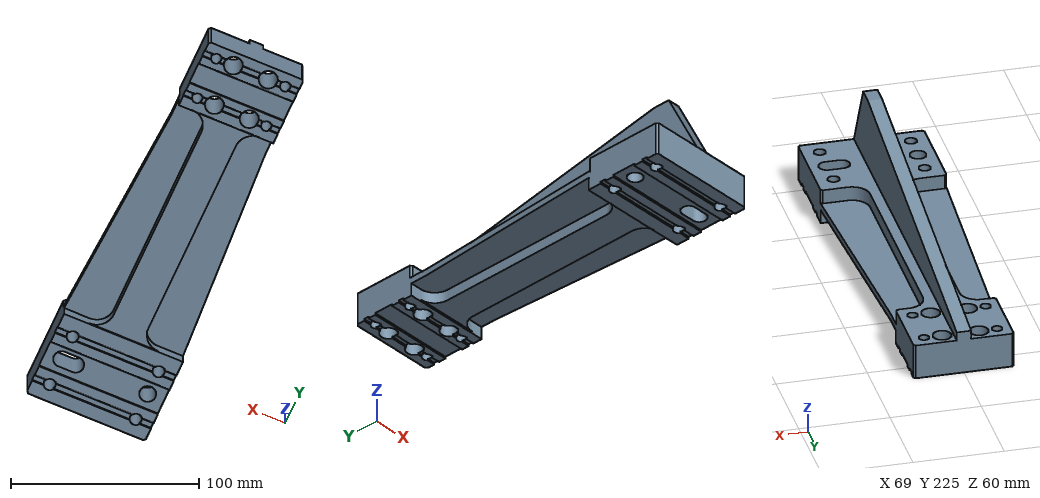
import cadquery as cq

length = 225.0
wide_width = 69.0
narrow_width = 55.0
base_height = 20.0
overall_height = 60.0
corner_chamfer = 1.1

wide_block_length = 50.0
narrow_block_length = 40.0
taper_length = 125.0
taper_end = wide_block_length + taper_length
spine_width = 20.0
pocket_radius = 10.0
pocket_depth = 8.0
web_thickness = 4.0
pocket_chamfer = 1.1
waist_length = length - wide_block_length - narrow_block_length
waist_center = wide_block_length + waist_length / 2
web_top = base_height - pocket_depth
web_bottom = web_top - web_thickness

rib_thickness = 7.9
rib_low_height = 5.0
rib_crest_start = 20.2
rib_crest_end = 30.5

foot_height = 1.1
row_groove_width = 3.4
wide_end_groove = 15.3
narrow_end_groove = 12.2

wide_hole_x = 25.0
wide_hole_rows = (9.5, 39.5)
wide_hole_diameter = 6.5
dowel_y = 25.0
dowel_diameter = 9.0
slot_x = 21.0
slot_length = 17.0

narrow_hole_rows = (length - 32.5, length - 7.5)
small_hole_x = 20.0
small_hole_diameter = 5.6
large_hole_x = 10.1
large_hole_diameter = 10.1


def make_base():
    wide_half = wide_width / 2
    narrow_half = narrow_width / 2
    outline = [
        (-wide_half, 0),
        (wide_half, 0),
        (wide_half, wide_block_length),
        (narrow_half, taper_end),
        (narrow_half, length),
        (-narrow_half, length),
        (-narrow_half, taper_end),
        (-wide_half, wide_block_length),
    ]
    base = cq.Workplane("XY").polyline(outline).close().extrude(base_height)
    end_corners = base.faces("<Y or >Y").edges("|Z")
    return end_corners.chamfer(corner_chamfer)


def make_rib():
    profile = [
        (0, base_height),
        (rib_crest_start, overall_height),
        (rib_crest_end, overall_height),
        (length, base_height + rib_low_height),
        (length, base_height),
    ]
    rib = cq.Workplane("YZ").polyline(profile).close()
    return rib.extrude(rib_thickness / 2, both=True)


def make_pocket(side, bottom, depth):
    """Side pocket, open outward, with rounded inner corners; side is -1 or 1."""
    reach = wide_width / 2
    center_x = side * (spine_width / 2 + reach / 2)
    inner_face = "<X" if side > 0 else ">X"
    pocket = cq.Workplane("XY", origin=(center_x, waist_center, bottom))
    pocket = pocket.box(reach, waist_length, depth, centered=(True, True, False))
    return pocket.faces(inner_face).edges("|Z").fillet(pocket_radius)


def make_corner_bevel(side, corner_x, corner_y):
    """Prism that bevels an end-block corner at the mouth of an upper pocket."""
    diamond = [
        (side * (corner_x - pocket_chamfer), corner_y),
        (side * corner_x, corner_y - pocket_chamfer),
        (side * (corner_x + pocket_chamfer), corner_y),
        (side * corner_x, corner_y + pocket_chamfer),
    ]
    bevel = cq.Workplane("XY", origin=(0, 0, web_top)).polyline(diamond).close()
    return bevel.extrude(pocket_depth)


def make_underside_groove(center_y, width):
    groove = cq.Workplane("XY", origin=(0, center_y, 0))
    return groove.box(wide_width, width, foot_height, centered=(True, True, False))


def make_hole(x, y, diameter):
    return cq.Workplane("XY", origin=(x, y, 0)).circle(diameter / 2).extrude(overall_height)


result = make_base().union(make_rib())

for side in (-1, 1):
    result = result.cut(make_pocket(side, web_top, pocket_depth))
    result = result.cut(make_pocket(side, 0, web_bottom))
    result = result.cut(make_corner_bevel(side, wide_width / 2, wide_block_length))
    result = result.cut(make_corner_bevel(side, narrow_width / 2, length - narrow_block_length))

result = result.cut(make_underside_groove(waist_center, waist_length))
result = result.cut(make_underside_groove(sum(wide_hole_rows) / 2, wide_end_groove))
result = result.cut(make_underside_groove(sum(narrow_hole_rows) / 2, narrow_end_groove))
for row_y in wide_hole_rows + narrow_hole_rows:
    result = result.cut(make_underside_groove(row_y, row_groove_width))

for side in (-1, 1):
    for row_y in wide_hole_rows:
        result = result.cut(make_hole(side * wide_hole_x, row_y, wide_hole_diameter))
    for row_y in narrow_hole_rows:
        result = result.cut(make_hole(side * small_hole_x, row_y, small_hole_diameter))
        result = result.cut(make_hole(side * large_hole_x, row_y, large_hole_diameter))

result = result.cut(make_hole(-wide_hole_x, dowel_y, dowel_diameter))
slot = cq.Workplane("XY", origin=(slot_x, dowel_y, 0)).slot2D(slot_length, dowel_diameter)
result = result.cut(slot.extrude(base_height))